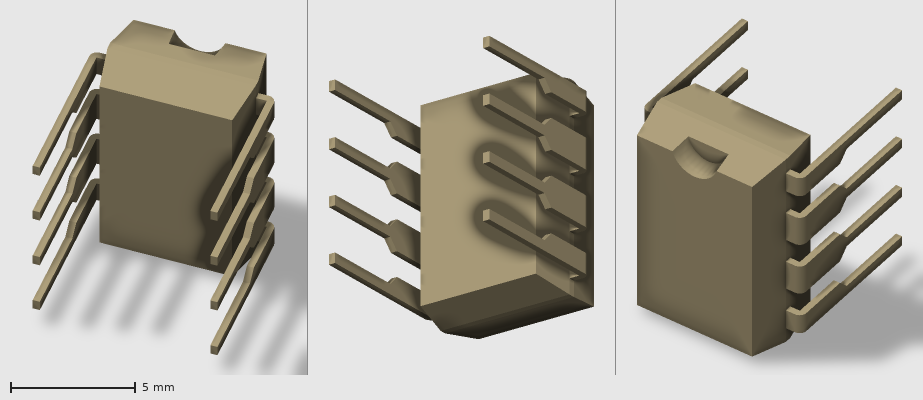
import cadquery as cq
import math


housing_length = 9.5
housing_width = 6.36
draft_angle = 10.0
half_height = 1.88

notch_radius = 1.14
notch_depth = 0.98
notch_draft = 8.0

lead_thickness = 0.3
lead_span = 7.91
lead_pitch = 2.54
leads_per_row = 4
blade_width = 0.47
shoulder_width = 1.41
shoulder_end = 2.53
tip_distance = 6.86
bend_inner_radius = 0.03
bend_outer_radius = bend_inner_radius + lead_thickness

band_half = lead_thickness / 2


def housing_half(direction):
    """Drafted half of the housing, from the lead plane towards +Y (1) or -Y (-1)."""
    plane = cq.Plane(origin=(0, 0, 0), xDir=(1, 0, 0), normal=(0, direction, 0))
    band = cq.Workplane(plane).rect(housing_width, housing_length).extrude(band_half)
    drafted = (
        cq.Workplane(plane)
        .workplane(offset=band_half)
        .rect(housing_width, housing_length)
        .extrude(half_height, taper=draft_angle)
    )
    return band.union(drafted)


def index_notch():
    """Conical cutter, centred on the +Z end of the housing and narrowing towards its floor."""
    floor_radius = notch_radius - notch_depth * math.tan(math.radians(notch_draft))
    return cq.Solid.makeCone(
        notch_radius,
        floor_radius,
        notch_depth,
        pnt=cq.Vector(0, band_half + half_height, housing_length / 2),
        dir=cq.Vector(0, -1, 0),
    )


def make_housing():
    return housing_half(1).union(housing_half(-1)).cut(cq.Workplane(index_notch()))


def bent_strip():
    """Lead of the +X row as a bent strip of full shoulder width, centred on Z = 0."""
    root_x = housing_width / 2
    outer_x = lead_span / 2
    inner_x = outer_x - lead_thickness
    bend_x = outer_x - bend_outer_radius
    bend_y = band_half - bend_outer_radius
    diagonal = math.sqrt(0.5)
    outer_mid = (bend_x + bend_outer_radius * diagonal, bend_y + bend_outer_radius * diagonal)
    inner_mid = (bend_x + bend_inner_radius * diagonal, bend_y + bend_inner_radius * diagonal)
    return (
        cq.Workplane("XY")
        .moveTo(root_x, band_half)
        .lineTo(bend_x, band_half)
        .threePointArc(outer_mid, (outer_x, bend_y))
        .lineTo(outer_x, -tip_distance)
        .lineTo(inner_x, -tip_distance)
        .lineTo(inner_x, bend_y)
        .threePointArc(inner_mid, (bend_x, -band_half))
        .lineTo(root_x, -band_half)
        .close()
        .extrude(shoulder_width / 2, both=True)
    )


def lead_outline(upper_half_width, lower_half_width):
    """Flat lead seen along X, with 45 degree tapers from each shoulder edge to the blade."""
    blade_half = blade_width / 2
    upper_taper_end = -shoulder_end - (upper_half_width - blade_half)
    lower_taper_end = -shoulder_end - (lower_half_width - blade_half)
    points = [(band_half, upper_half_width)]
    if upper_half_width > blade_half:
        points.append((-shoulder_end, upper_half_width))
        points.append((upper_taper_end, blade_half))
    points.append((-tip_distance, blade_half))
    points.append((-tip_distance, -blade_half))
    if lower_half_width > blade_half:
        points.append((lower_taper_end, -blade_half))
        points.append((-shoulder_end, -lower_half_width))
    points.append((band_half, -lower_half_width))
    return cq.Workplane("YZ").polyline(points).close().extrude(lead_span / 2)


def make_lead(row, side):
    """Lead at position `row` along Z, on the +X (1) or -X (-1) side.

    The end leads have no shoulder on the edge that faces the nearest housing end.
    """
    upper_half_width = blade_width / 2 if row == leads_per_row - 1 else shoulder_width / 2
    lower_half_width = blade_width / 2 if row == 0 else shoulder_width / 2
    lead = bent_strip().intersect(lead_outline(upper_half_width, lower_half_width))
    if side < 0:
        lead = lead.mirror("YZ")
    row_z = (row - (leads_per_row - 1) / 2) * lead_pitch
    return lead.translate((0, 0, row_z))


housing = make_housing()
leads = [make_lead(row, side) for side in (-1, 1) for row in range(leads_per_row)]

result = cq.Compound.makeCompound([housing.val(), *[lead.val() for lead in leads]])